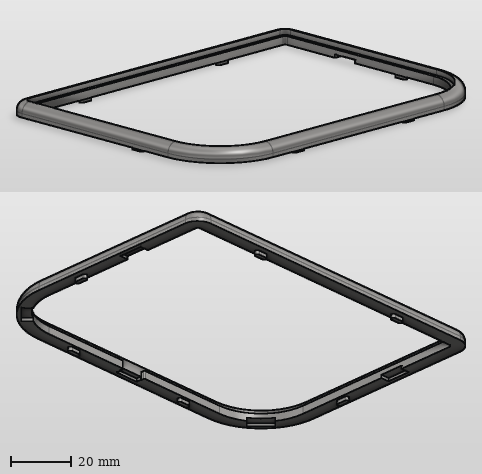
import cadquery as cq
import math

LENGTH_X = 99.24
LENGTH_Y = 130.05
SMALL_CORNER_RADIUS = 6.0
LARGE_CORNER_RADIUS = 24.7

RIM_WIDTH = 3.5
RIM_BASE_HEIGHT = 1.5
RIM_HEIGHT = RIM_BASE_HEIGHT + RIM_WIDTH
LEDGE_WIDTH = 1.5
LEDGE_HEIGHT = 3.0
BAR_WIDTH = RIM_WIDTH + LEDGE_WIDTH

GAP_LENGTH = 9.8
GAP_CORNER_RADIUS = 0.5

NOTCH_LENGTH = 9.4
NOTCH_DEPTH = 3.4
NOTCH_HEIGHT = 1.2
NOTCH_OVERRUN = 1.0
NOTCH_X = -16.5
NOTCH_CORNER_ANGLE = 45.0

TAB_LENGTH = 5.0
TAB_WIDTH = 1.75
TAB_HEIGHT = 1.5
TAB_INSET = 3.1
TAB_X = 8.0
LEFT_TABS_Y = (32.2, -32.2)
RIGHT_TABS_Y = (26.5, -25.3)

RIGHT_X = LENGTH_X / 2
LEFT_X = -RIGHT_X
BACK_Y = LENGTH_Y / 2
DIAGONAL = math.cos(math.radians(45))


def outline_path():
    """Outer edge of the frame, counter-clockwise from the middle of the +X side."""
    small = SMALL_CORNER_RADIUS
    large = LARGE_CORNER_RADIUS

    def corner_middle(x_sign, y_sign, radius):
        reach = radius * (1 - DIAGONAL)
        return (x_sign * (RIGHT_X - reach), y_sign * (BACK_Y - reach))

    return (
        cq.Workplane("XY")
        .moveTo(RIGHT_X, 0)
        .lineTo(RIGHT_X, BACK_Y - large)
        .threePointArc(corner_middle(1, 1, large), (RIGHT_X - large, BACK_Y))
        .lineTo(LEFT_X + small, BACK_Y)
        .threePointArc(corner_middle(-1, 1, small), (LEFT_X, BACK_Y - small))
        .lineTo(LEFT_X, -BACK_Y + small)
        .threePointArc(corner_middle(-1, -1, small), (LEFT_X + small, -BACK_Y))
        .lineTo(RIGHT_X - large, -BACK_Y)
        .threePointArc(corner_middle(1, -1, large), (RIGHT_X, -BACK_Y + large))
        .close()
    )


def frame():
    """Closed bar with the rim-and-ledge section, swept along the outline."""
    section = (
        cq.Workplane("XZ")
        .moveTo(RIGHT_X, 0)
        .lineTo(RIGHT_X, RIM_BASE_HEIGHT)
        .threePointArc(
            (RIGHT_X - RIM_WIDTH * (1 - DIAGONAL), RIM_BASE_HEIGHT + RIM_WIDTH * DIAGONAL),
            (RIGHT_X - RIM_WIDTH, RIM_HEIGHT),
        )
        .lineTo(RIGHT_X - RIM_WIDTH, LEDGE_HEIGHT)
        .lineTo(RIGHT_X - BAR_WIDTH, LEDGE_HEIGHT)
        .lineTo(RIGHT_X - BAR_WIDTH, 0)
        .close()
    )
    return section.sweep(outline_path())


def ledge_gap():
    """Cutter that removes the ledge in the middle of the +X bar and rounds the ledge ends."""
    inner_x = RIGHT_X - BAR_WIDTH
    half = GAP_LENGTH / 2
    radius = GAP_CORNER_RADIUS
    bend = radius * (1 - DIAGONAL)
    return (
        cq.Workplane("XY")
        .moveTo(inner_x + LEDGE_WIDTH, -half)
        .lineTo(inner_x + radius, -half)
        .threePointArc((inner_x + bend, -half - bend), (inner_x, -half - radius))
        .lineTo(inner_x, half + radius)
        .threePointArc((inner_x + bend, half + bend), (inner_x + radius, half))
        .lineTo(inner_x + LEDGE_WIDTH, half)
        .close()
        .extrude(LEDGE_HEIGHT)
    )


def underside_notch(x, y, angle):
    """Notch cutter reaching inwards from a point on the outline whose outward normal is at the angle."""
    return (
        cq.Workplane("XY")
        .box(NOTCH_DEPTH + NOTCH_OVERRUN, NOTCH_LENGTH, NOTCH_HEIGHT, centered=(False, True, False))
        .translate((-BAR_WIDTH - NOTCH_OVERRUN, 0, 0))
        .rotate((0, 0, 0), (0, 0, 1), angle)
        .translate((x, y, 0))
    )


def tab(x, y, angle):
    """Round-ended tab hanging from the underside at (x, y), its length at the angle to X."""
    return (
        cq.Workplane("XY")
        .center(x, y)
        .slot2D(TAB_LENGTH, TAB_WIDTH, angle)
        .extrude(-TAB_HEIGHT)
    )


result = frame().cut(ledge_gap()).cut(underside_notch(RIGHT_X, 0, 0))

corner_reach = LARGE_CORNER_RADIUS * (1 - DIAGONAL)
for side in (1, -1):
    corner = (RIGHT_X - corner_reach, side * (BACK_Y - corner_reach))
    result = result.cut(underside_notch(*corner, side * NOTCH_CORNER_ANGLE))
    result = result.cut(underside_notch(NOTCH_X, side * BACK_Y, side * 90))
    result = result.union(tab(TAB_X, side * (BACK_Y - TAB_INSET), 0))

for tab_y in LEFT_TABS_Y:
    result = result.union(tab(LEFT_X + TAB_INSET, tab_y, 90))
for tab_y in RIGHT_TABS_Y:
    result = result.union(tab(RIGHT_X - TAB_INSET, tab_y, 90))